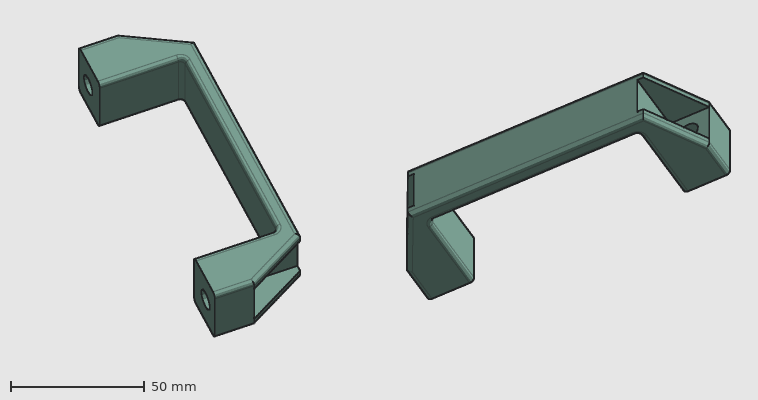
import cadquery as cq

length = 130.0
height = 41.0
width = 26.0

leg_length = 20.0
grip_thickness = 7.0
shoulder_height = 16.0
slope_run = 14.4
edge_radius = 2.0
inner_corner_radius = 2.0

hole_inset = 9.0
hole_diameter = 8.0
recess_width = 18.0
recess_depth = 17.0

half_length = length / 2
top_corner_x = half_length - slope_run
inner_x = half_length - leg_length
inner_height = height - grip_thickness


def handle_body():
    """Trapezoidal bridge with rounded edges everywhere except around the feet."""
    outline = [
        (-half_length, 0),
        (-half_length, shoulder_height),
        (-top_corner_x, height),
        (top_corner_x, height),
        (half_length, shoulder_height),
        (half_length, 0),
        (inner_x, 0),
        (inner_x, inner_height),
        (-inner_x, inner_height),
        (-inner_x, 0),
    ]
    body = cq.Workplane("XY").polyline(outline).close().extrude(width / 2, both=True)
    corner_margin = 1.3
    inner_corners = cq.selectors.BoxSelector(
        (-inner_x - corner_margin, inner_height - corner_margin, -width),
        (inner_x + corner_margin, inner_height + corner_margin, width),
    )
    body = body.edges("|Z").edges(inner_corners).fillet(inner_corner_radius)
    above_feet = cq.selectors.BoxSelector(
        (-length, edge_radius, -width),
        (length, height + edge_radius, width),
    )
    return body.faces("|Z").edges().edges(above_feet).fillet(edge_radius)


def screw_recess(side):
    """Pocket cut down to shoulder level, open through the sloped face."""
    return (
        cq.Workplane("XY")
        .box(recess_depth, height - shoulder_height, recess_width, centered=(True, False, True))
        .translate((side * (half_length - recess_depth / 2), shoulder_height, 0))
    )


def mounting_hole(side):
    """Screw hole running from the foot up to the recess floor."""
    return (
        cq.Workplane("XZ")
        .center(side * (half_length - hole_inset), 0)
        .circle(hole_diameter / 2)
        .extrude(-shoulder_height)
    )


result = handle_body()
for side in (-1, 1):
    result = result.cut(screw_recess(side)).cut(mounting_hole(side))